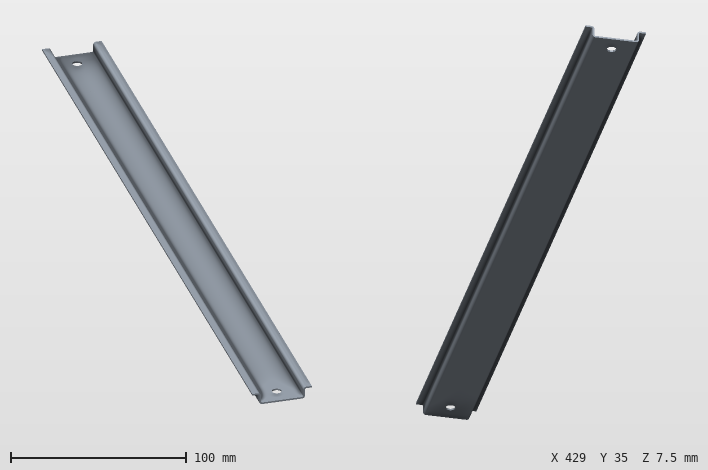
import cadquery as cq

length = 429.0
width = 35.0
height = 7.5

thickness = 1.0
channel_width = 27.0
inner_bend_radius = 0.75
outer_bend_radius = inner_bend_radius + thickness

hole_diameter = 5.5
hole_spacing = 407.0

half_width = width / 2
half_channel = channel_width / 2
half_inner = half_channel - thickness


def hat_section():
    """Sharp-cornered hat outline in the YZ plane, with the floor on Z = 0."""
    right_side = [
        (half_channel, 0),
        (half_channel, height - thickness),
        (half_width, height - thickness),
        (half_width, height),
        (half_inner, height),
        (half_inner, thickness),
    ]
    left_side = [(-y, z) for y, z in reversed(right_side)]
    return cq.Workplane("YZ").polyline(right_side + left_side).close()


def round_bends(rail, corners, radius):
    """Round the lengthwise edges at the given (y, z) corners on both sides."""
    for y, z in corners:
        for side in (-1, 1):
            edge = cq.selectors.NearestToPointSelector((0, side * y, z))
            rail = rail.edges("|X").edges(edge).fillet(radius)
    return rail


rail = hat_section().extrude(length / 2, both=True)

inner_corners = [(half_inner, thickness), (half_channel, height - thickness)]
outer_corners = [(half_channel, 0), (half_inner, height)]
rail = round_bends(rail, inner_corners, inner_bend_radius)
rail = round_bends(rail, outer_corners, outer_bend_radius)

hole_cutters = (
    cq.Workplane("XY")
    .pushPoints([(-hole_spacing / 2, 0), (hole_spacing / 2, 0)])
    .circle(hole_diameter / 2)
    .extrude(height)
)

result = rail.cut(hole_cutters)